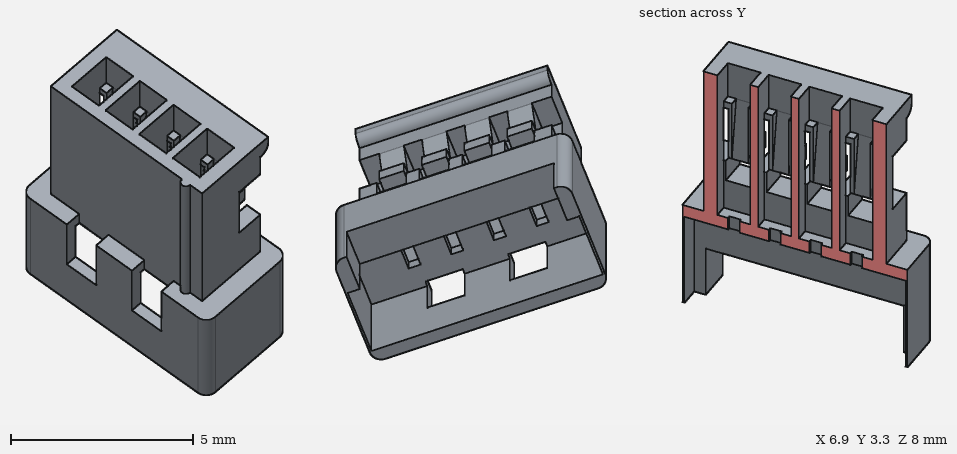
import cadquery as cq

BASE_LENGTH = 6.9
BASE_DEPTH = 3.3
BASE_HEIGHT = 3.3
BASE_CORNER_RADIUS = 0.34
ROOF_THICKNESS = 0.4
FRONT_WALL = 0.36
END_WALL = 0.06
SKIRT_BACK_Y = 0.6
BACK_POST_WIDTH = 0.35

WINDOW_WIDTH = 1.09
WINDOW_SPACING = 2.42
WINDOW_SILL_Z = 1.56

TOTAL_HEIGHT = 8.0
HOUSING_LENGTH = 5.62
HOUSING_FRONT_Y = -1.14
HOUSING_BACK_Y = 1.23
LIP_BOTTOM_Z = 7.41
LIP_DEPTH = 0.32

KEY_RIB_X = 2.21
KEY_RIB_RADIUS = 0.15

POCKET_COUNT = 4
POCKET_PITCH = 1.25
POCKET_WIDTH = 1.0
POCKET_FRONT_Y = -0.76
POCKET_BACK_Y = 0.64
POCKET_STEP_Z = 6.88
PIN_SLOT_WIDTH = 0.35
PIN_SLOT_FRONT_Y = -0.61
PIN_SLOT_BACK_Y = 0.08

NOTCH_BOTTOM_Z = 4.9
NOTCH_TOP_Z = 6.66
NOTCH_FLOOR_Y = 0.38
LANCE_WIDTH = 0.72
GROOVE_WIDTH = 0.5
LANCE_NECK_Y = 0.92
LANCE_CATCH_Z = 5.57
LANCE_HEEL_Z = 5.08
LANCE_TIP_Z = 5.02
REAR_WINDOW_WIDTH = 0.86
REAR_WINDOW_SILL_Z = 4.24

ROOF_BOTTOM_Z = BASE_HEIGHT - ROOF_THICKNESS
BASE_FRONT_Y = -BASE_DEPTH / 2
BASE_BACK_Y = BASE_DEPTH / 2
SKIRT_FRONT_Y = BASE_FRONT_Y + FRONT_WALL
SKIRT_LENGTH = BASE_LENGTH - 2 * END_WALL
BACK_OPENING_LENGTH = SKIRT_LENGTH - 2 * BACK_POST_WIDTH
POCKET_CENTERS = [(i - (POCKET_COUNT - 1) / 2) * POCKET_PITCH for i in range(POCKET_COUNT)]


def block(center_x, length, y_range, z_range):
    """Box centred on center_x that spans the given Y and Z ranges."""
    y_low, y_high = y_range
    z_low, z_high = z_range
    return (
        cq.Workplane("XY")
        .box(length, y_high - y_low, z_high - z_low, centered=(True, False, False))
        .translate((center_x, y_low, z_low))
    )


def side_profile(length):
    """YZ sketch plane placed so that extruding by length centres the result on X = 0."""
    return cq.Workplane("YZ", origin=(-length / 2, 0, 0))


def make_base():
    return (
        cq.Workplane("XY")
        .box(BASE_LENGTH, BASE_DEPTH, BASE_HEIGHT, centered=(True, True, False))
        .edges("|Z")
        .fillet(BASE_CORNER_RADIUS)
    )


def make_housing():
    """Block with a quarter-round lip along its top rear edge."""
    lip_back_y = HOUSING_BACK_Y + LIP_DEPTH
    return (
        side_profile(HOUSING_LENGTH)
        .moveTo(HOUSING_FRONT_Y, ROOF_BOTTOM_Z)
        .lineTo(HOUSING_BACK_Y, ROOF_BOTTOM_Z)
        .lineTo(HOUSING_BACK_Y, LIP_BOTTOM_Z)
        .radiusArc((lip_back_y, LIP_BOTTOM_Z + LIP_DEPTH), -LIP_DEPTH)
        .lineTo(lip_back_y, TOTAL_HEIGHT)
        .lineTo(HOUSING_FRONT_Y, TOTAL_HEIGHT)
        .close()
        .extrude(HOUSING_LENGTH)
    )


def make_key_rib():
    """Half-round rib up the front of the housing."""
    return (
        cq.Workplane("XY", origin=(KEY_RIB_X, HOUSING_FRONT_Y, ROOF_BOTTOM_Z))
        .circle(KEY_RIB_RADIUS)
        .extrude(TOTAL_HEIGHT - ROOF_BOTTOM_Z)
    )


def make_lance(center_x):
    """Latch arm with a hooked catch at its lower end."""
    return (
        side_profile(LANCE_WIDTH)
        .polyline([
            (NOTCH_FLOOR_Y, NOTCH_TOP_Z),
            (HOUSING_BACK_Y, NOTCH_TOP_Z),
            (LANCE_NECK_Y, LANCE_CATCH_Z),
            (HOUSING_BACK_Y, LANCE_CATCH_Z),
            (HOUSING_BACK_Y, LANCE_HEEL_Z),
            (NOTCH_FLOOR_Y, LANCE_TIP_Z),
        ])
        .close()
        .extrude(LANCE_WIDTH)
        .translate((center_x, 0, 0))
    )


def make_groove(center_x):
    """Wedge cut from the front of a lance, running out at its tip."""
    return (
        side_profile(GROOVE_WIDTH)
        .polyline([
            (NOTCH_FLOOR_Y, POCKET_STEP_Z),
            (POCKET_BACK_Y, POCKET_STEP_Z),
            (NOTCH_FLOOR_Y, LANCE_TIP_Z),
        ])
        .close()
        .extrude(GROOVE_WIDTH)
        .translate((center_x, 0, 0))
    )


def cut_pocket(body, center_x):
    """Stepped terminal pocket with its pin slot and rear window."""
    lower_y = (POCKET_FRONT_Y, NOTCH_FLOOR_Y)
    upper_y = (POCKET_FRONT_Y, POCKET_BACK_Y)
    slot_y = (PIN_SLOT_FRONT_Y, PIN_SLOT_BACK_Y)
    window_y = (NOTCH_FLOOR_Y, HOUSING_BACK_Y)
    lower = block(center_x, POCKET_WIDTH, lower_y, (BASE_HEIGHT, TOTAL_HEIGHT))
    upper = block(center_x, POCKET_WIDTH, upper_y, (POCKET_STEP_Z, TOTAL_HEIGHT))
    pin_slot = block(center_x, PIN_SLOT_WIDTH, slot_y, (ROOF_BOTTOM_Z, BASE_HEIGHT))
    rear_window = block(center_x, REAR_WINDOW_WIDTH, window_y, (REAR_WINDOW_SILL_Z, NOTCH_BOTTOM_Z))
    return body.cut(lower).cut(upper).cut(pin_slot).cut(rear_window)


base = make_base()
base = base.cut(block(0, SKIRT_LENGTH, (SKIRT_FRONT_Y, SKIRT_BACK_Y), (0, ROOF_BOTTOM_Z)))
base = base.cut(block(0, BACK_OPENING_LENGTH, (SKIRT_BACK_Y, BASE_BACK_Y), (0, WINDOW_SILL_Z)))

for window_x in (-WINDOW_SPACING / 2, WINDOW_SPACING / 2):
    base = base.cut(
        block(window_x, WINDOW_WIDTH, (BASE_FRONT_Y, HOUSING_FRONT_Y), (WINDOW_SILL_Z, BASE_HEIGHT))
    )

result = base.union(make_housing()).union(make_key_rib())
result = result.cut(
    block(0, HOUSING_LENGTH, (NOTCH_FLOOR_Y, HOUSING_BACK_Y), (NOTCH_BOTTOM_Z, NOTCH_TOP_Z))
)
for pocket_x in POCKET_CENTERS:
    result = cut_pocket(result, pocket_x)
    result = result.union(make_lance(pocket_x)).cut(make_groove(pocket_x))